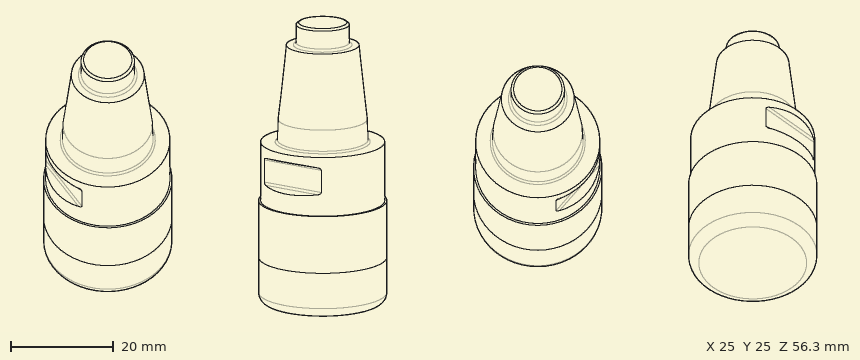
import cadquery as cq
import math

total_height = 56.3
cap_height = 9.1
sleeve_top = 20.5
collar_top = 32.3
neck_top = 36.9
cone_top = 51.8

sleeve_radius = 25.0 / 2
collar_radius = 24.2 / 2
neck_base_radius = 8.85
neck_top_radius = 8.7
cone_top_radius = 7.1
stud_radius = 10.4 / 2

cap_edge_fillet = 2.0
neck_root_fillet = 0.4
stud_root_fillet = 0.5
stud_chamfer_width = 0.5
stud_chamfer_height = 0.4

slot_center_z = 27.5
slot_floor_distance = 10.0
slot_mouth_height = 6.35
slot_wall_angle = 15.0
slot_corner_radius = 0.5


def make_cap():
    """Bottom cap: a disc with a rounded lower edge."""
    disc = cq.Workplane("XY").circle(sleeve_radius).extrude(cap_height)
    return disc.faces("<Z").edges().fillet(cap_edge_fillet)


def make_turned_body():
    """Sleeve, collar, tapered neck and stud, revolved about Z."""
    arc_point = math.sqrt(0.5)
    neck_root_top = collar_top + neck_root_fillet
    neck_root_radius = neck_base_radius + neck_root_fillet
    neck_root_mid = (
        neck_root_radius - neck_root_fillet * arc_point,
        neck_root_top - neck_root_fillet * arc_point,
    )
    stud_root_top = cone_top + stud_root_fillet
    stud_root_radius = stud_radius + stud_root_fillet
    stud_root_mid = (
        stud_root_radius - stud_root_fillet * arc_point,
        stud_root_top - stud_root_fillet * arc_point,
    )
    return (
        cq.Workplane("XZ")
        .moveTo(0, cap_height)
        .lineTo(sleeve_radius, cap_height)
        .lineTo(sleeve_radius, sleeve_top)
        .lineTo(collar_radius, sleeve_top)
        .lineTo(collar_radius, collar_top)
        .lineTo(neck_root_radius, collar_top)
        .threePointArc(neck_root_mid, (neck_base_radius, neck_root_top))
        .lineTo(neck_top_radius, neck_top)
        .lineTo(cone_top_radius, cone_top)
        .lineTo(stud_root_radius, cone_top)
        .threePointArc(stud_root_mid, (stud_radius, stud_root_top))
        .lineTo(stud_radius, total_height - stud_chamfer_height)
        .lineTo(stud_radius - stud_chamfer_width, total_height)
        .lineTo(0, total_height)
        .close()
        .revolve(360, (0, 0, 0), (0, 1, 0))
    )


def make_slot_cutter(side):
    """Bar along X with sloped walls and rounded floor corners; side is -1 for front, +1 for back."""
    wall_slope = math.tan(math.radians(slot_wall_angle))
    mouth_half = slot_mouth_height / 2
    floor_half = mouth_half - (collar_radius - slot_floor_distance) * wall_slope
    outer_distance = sleeve_radius
    outer_half = mouth_half + (outer_distance - collar_radius) * wall_slope
    return (
        cq.Workplane("YZ")
        .polyline([
            (side * slot_floor_distance, slot_center_z - floor_half),
            (side * outer_distance, slot_center_z - outer_half),
            (side * outer_distance, slot_center_z + outer_half),
            (side * slot_floor_distance, slot_center_z + floor_half),
        ])
        .close()
        .extrude(sleeve_radius, both=True)
        .faces("<Y" if side > 0 else ">Y")
        .edges("|X")
        .fillet(slot_corner_radius)
    )


cap = make_cap()

holder = make_turned_body()
for slot_side in (-1, 1):
    holder = holder.cut(make_slot_cutter(slot_side))

result = cq.Compound.makeCompound([cap.val(), holder.val()])